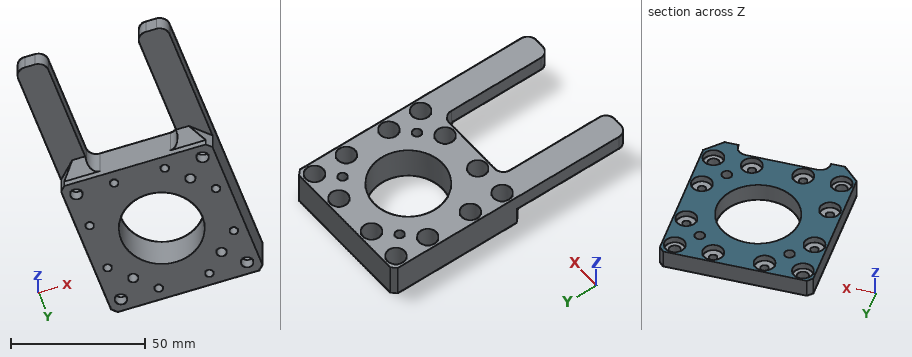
import cadquery as cq

length = 110.0
width = 60.0
height = 15.0
block_length = width
corner_chamfer = 2.0
arm_thickness = 7.0
arm_width = 12.0
corner_radius = 4.0
gusset_size = 5.0
bore_diameter = 32.0
screw_row_spacing = 49.9
inner_screw_spacing = 20.0
counterbore_diameter = 8.0
counterbore_depth = 10.0
corner_screw_diameter = 4.6
inner_screw_diameter = 3.2
pin_spacing = 35.0
pin_diameter = 3.8

half_width = width / 2
block_front = -block_length / 2
block_back = block_length / 2
arm_tip = block_back - length
arm_underside = height - arm_thickness
gusset_front = block_front - gusset_size
slot_width = width - 2 * arm_width


def make_block():
    """Square block whose front flares at 45 degrees into the arm undersides."""
    side_profile = [
        (block_back, 0),
        (block_front, 0),
        (block_front, arm_underside - gusset_size),
        (gusset_front, arm_underside),
        (gusset_front, height),
        (block_back, height),
    ]
    body = cq.Workplane("YZ").polyline(side_profile).close().extrude(half_width, both=True)

    front_half_width = half_width - corner_chamfer - gusset_size
    plan = [
        (-half_width, block_back),
        (half_width, block_back),
        (half_width, block_front + corner_chamfer),
        (front_half_width, gusset_front),
        (-front_half_width, gusset_front),
        (-half_width, block_front + corner_chamfer),
    ]
    return body.intersect(cq.Workplane("XY").polyline(plan).close().extrude(height))


def make_arm_plate():
    """Full-length upper plate from which the two arms are formed."""
    return (
        cq.Workplane("XY", origin=(0, 0, arm_underside))
        .center(0, (block_back + arm_tip) / 2)
        .rect(width, length)
        .extrude(arm_thickness)
    )


def make_slot():
    """Space between the arms, with rounded inner corners."""
    slot_length = block_front - arm_tip
    return (
        cq.Workplane("XY")
        .center(0, (block_front + arm_tip) / 2)
        .rect(slot_width, slot_length)
        .extrude(height)
        .edges("|Z and >Y")
        .fillet(corner_radius)
    )


def add_screw_holes(body, points, diameter):
    """Through holes counterbored from the top face."""
    return (
        body.copyWorkplane(cq.Workplane("XY", origin=(0, 0, height)))
        .pushPoints(points)
        .cboreHole(diameter, counterbore_diameter, counterbore_depth)
    )


def add_plain_holes(body, points, diameter):
    """Plain through holes from the top face."""
    return (
        body.copyWorkplane(cq.Workplane("XY", origin=(0, 0, height)))
        .pushPoints(points)
        .hole(diameter)
    )


result = make_block().union(make_arm_plate()).cut(make_slot())
result = result.edges("|Z and <Y").fillet(corner_radius)
result = result.edges("|Z and >Y").chamfer(corner_chamfer)

row = screw_row_spacing / 2
inner = inner_screw_spacing / 2
corner_points = [(x, y) for x in (-row, row) for y in (-row, row)]
inner_points = []
for side in (-row, row):
    for offset in (-inner, inner):
        inner_points += [(side, offset), (offset, side)]
result = add_screw_holes(result, corner_points, corner_screw_diameter)
result = add_screw_holes(result, inner_points, inner_screw_diameter)

pin = pin_spacing / 2
result = add_plain_holes(result, [(-pin, pin), (pin, pin), (pin, -pin)], pin_diameter)
result = add_plain_holes(result, [(0, 0)], bore_diameter)